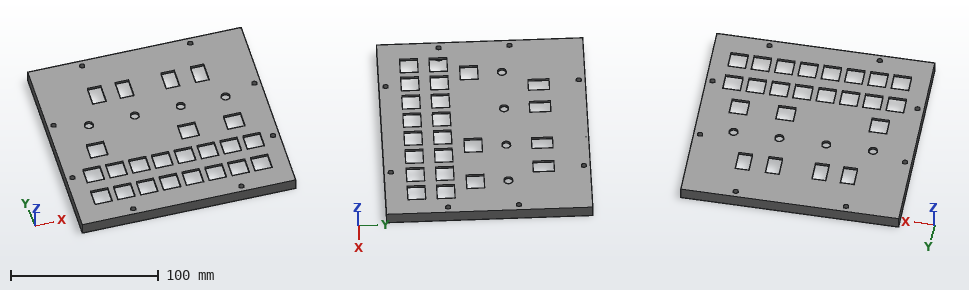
import cadquery as cq

length = 150.0
width = 140.0
height = 9.0
plate_thickness = 2.0
rim_thickness = 2.0

screw_diameter = 3.5
screw_inset = 4.5
boss_diameter = 8.0
end_screw_x = 38.0
side_screw_ys = (20.0, -28.0)

key_size = 12.0
key_pitch = 16.0
key_count = 8
key_center_x = 0.5
key_row_ys = (-29.0, -48.9)
upper_key_y = -8.5
upper_column_count = key_count // 2
upper_column_pitch = 2 * key_pitch
empty_upper_column = 1

knob_xs = (-47.4, -15.2, 17.1, 48.6)
knob_diameter = 6.0
knob_y = 13.8

switch_width = 9.5
switch_height = 14.2
switch_y = 38.2
switch_xs = (-35.1, -15.6, 16.5, 37.2)


def centered_row(count, pitch):
    """X positions of a row spread evenly about the key block centre."""
    return [key_center_x + (i - (count - 1) / 2) * pitch for i in range(count)]


def hollow_box():
    """Top plate with a thin rim hanging down around its edge."""
    outer = cq.Workplane("XY").box(length, width, height, centered=(True, True, False))
    cavity = cq.Workplane("XY").box(
        length - 2 * rim_thickness,
        width - 2 * rim_thickness,
        height - plate_thickness,
        centered=(True, True, False),
    )
    return outer.cut(cavity)


def rectangular_prisms(points, size_x, size_y):
    """Full-height blocks used to cut windows."""
    return cq.Workplane("XY").pushPoints(points).rect(size_x, size_y).extrude(height)


def round_columns(points, diameter):
    """Full-height cylinders used for screw bosses and round holes."""
    return cq.Workplane("XY").pushPoints(points).circle(diameter / 2).extrude(height)


key_xs = centered_row(key_count, key_pitch)
upper_column_xs = centered_row(upper_column_count, upper_column_pitch)

key_points = [(x, y) for y in key_row_ys for x in key_xs]
key_points += [
    (x, upper_key_y)
    for column, x in enumerate(upper_column_xs)
    if column != empty_upper_column
]

switch_points = [(x, switch_y) for x in switch_xs]
knob_points = [(x, knob_y) for x in knob_xs]

side_screw_x = length / 2 - screw_inset
end_screw_y = width / 2 - screw_inset
screw_points = []
for side in (-1, 1):
    screw_points += [(side * end_screw_x, y) for y in (-end_screw_y, end_screw_y)]
    screw_points += [(side * side_screw_x, y) for y in side_screw_ys]

result = (
    hollow_box()
    .union(round_columns(screw_points, boss_diameter))
    .cut(rectangular_prisms(key_points, key_size, key_size))
    .cut(rectangular_prisms(switch_points, switch_width, switch_height))
    .cut(round_columns(knob_points, knob_diameter))
    .cut(round_columns(screw_points, screw_diameter))
)